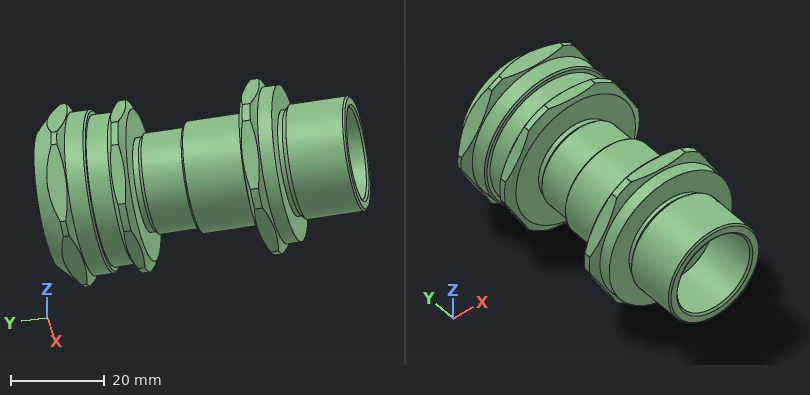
import cadquery as cq
import math

LENGTH = 67.65

THREAD_END = 12.85
WASHER_START = 14.9
LOWER_NUT_START = 18.0
LOWER_NUT_END = 22.05
BODY_START = 22.85
BODY_END = 36.0
SLEEVE_END = 45.7
UPPER_NUT_START = 47.0
UPPER_NUT_END = 51.1
COLLAR_START = 55.75
CAP_START = 60.2

THREAD_D = 25.0
RELIEF_D = 23.0
WASHER_D = 34.0
BODY_D = 24.4
SLEEVE_D = 22.0
NECK_D = 20.5
DRUM_D = 33.0
COLLAR_D = 35.5
CAP_TOP_D = 29.7
BORE_D = 20.0
BORE_DEPTH = 12.8

NUT_FLATS = 35.0
LOWER_NUT_CORNERS = 38.0
UPPER_NUT_CORNERS = 37.3
CAP_FLATS = 36.0
CAP_CORNERS = 39.7

EDGE = 0.4
BORE_EDGE = 0.5
NUT_BEVEL_ANGLE = 30.0
CAP_BEVEL_ANGLE = 45.0


def turned(points):
    """Solid of revolution about Y from (diameter, station) points."""
    outline = [(diameter / 2, station) for diameter, station in points]
    outline = [(0, points[0][1])] + outline + [(0, points[-1][1])]
    return cq.Workplane("XY").polyline(outline).close().revolve(360, (0, 0, 0), (0, 1, 0))


def bevel_length(large_d, small_d, angle):
    """Axial length of a bevel whose angle is measured from the end face."""
    return (large_d - small_d) / 2 * math.tan(math.radians(angle))


def hex_nut(start, end, flats, corners, start_d, end_d, end_angle=NUT_BEVEL_ANGLE):
    """Hexagon with flats facing +Z and -Z, cut back to a bevelled turned blank."""
    blank = turned([
        (start_d, start),
        (corners, start + bevel_length(corners, start_d, NUT_BEVEL_ANGLE)),
        (corners, end - bevel_length(corners, end_d, end_angle)),
        (end_d, end),
    ])
    point_to_point = flats / math.cos(math.radians(30))
    prism = (
        cq.Workplane("XZ", origin=(0, start, 0))
        .polygon(6, point_to_point)
        .extrude(start - end)
    )
    return prism.intersect(blank)


stem = turned([
    (THREAD_D - 2 * EDGE, 0),
    (THREAD_D, EDGE),
    (THREAD_D, THREAD_END),
    (RELIEF_D, THREAD_END + (THREAD_D - RELIEF_D) / 2),
    (RELIEF_D, WASHER_START),
    (WASHER_D, WASHER_START),
    (WASHER_D, LOWER_NUT_START),
    (THREAD_D, LOWER_NUT_START),
    (THREAD_D, LOWER_NUT_END),
    (BODY_D, BODY_START),
    (BODY_D, BODY_END - EDGE),
    (BODY_D - 2 * EDGE, BODY_END),
    (SLEEVE_D, BODY_END),
    (SLEEVE_D, SLEEVE_END - (SLEEVE_D - NECK_D) / 2),
    (NECK_D, SLEEVE_END),
    (NECK_D, UPPER_NUT_START),
    (DRUM_D, UPPER_NUT_START),
    (DRUM_D, COLLAR_START),
    (COLLAR_D - 2 * EDGE, COLLAR_START),
    (COLLAR_D, COLLAR_START + EDGE),
    (COLLAR_D, CAP_START),
])

lower_nut = hex_nut(
    LOWER_NUT_START, LOWER_NUT_END, NUT_FLATS, LOWER_NUT_CORNERS, WASHER_D, WASHER_D
)
upper_nut = hex_nut(
    UPPER_NUT_START, UPPER_NUT_END, NUT_FLATS, UPPER_NUT_CORNERS, DRUM_D, DRUM_D
)
cap = hex_nut(
    CAP_START, LENGTH, CAP_FLATS, CAP_CORNERS, COLLAR_D, CAP_TOP_D, CAP_BEVEL_ANGLE
)

bore = turned([
    (BORE_D + 2 * BORE_EDGE, 0),
    (BORE_D, BORE_EDGE),
    (BORE_D, BORE_DEPTH),
])

result = stem.union(lower_nut).union(upper_nut).union(cap).cut(bore)